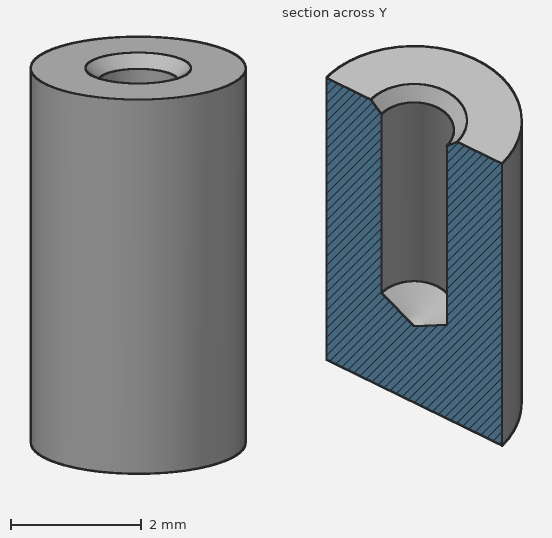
import cadquery as cq
import math

body_diameter = 3.3
body_height = 6.0

hole_diameter = 1.22
hole_depth = 4.0
drill_point_angle = 118.0

mouth_diameter = 1.62
mouth_angle = 90.0


def cone_depth(large_diameter, small_diameter, included_angle):
    """Axial length of a cone between two diameters."""
    half_angle = math.radians(included_angle / 2)
    return (large_diameter - small_diameter) / 2 / math.tan(half_angle)


def make_body():
    return cq.Workplane("XY").circle(body_diameter / 2).extrude(body_height)


def make_hole_cutter():
    """Countersunk blind hole, revolved from its half profile about the Z axis."""
    hole_radius = hole_diameter / 2
    mouth_bottom = body_height - cone_depth(mouth_diameter, hole_diameter, mouth_angle)
    hole_bottom = body_height - hole_depth
    drill_tip = hole_bottom - cone_depth(hole_diameter, 0, drill_point_angle)
    half_profile = [
        (0, body_height),
        (mouth_diameter / 2, body_height),
        (hole_radius, mouth_bottom),
        (hole_radius, hole_bottom),
        (0, drill_tip),
    ]
    return cq.Workplane("XZ").polyline(half_profile).close().revolve(360, (0, 0), (0, 1))


result = make_body().cut(make_hole_cutter())